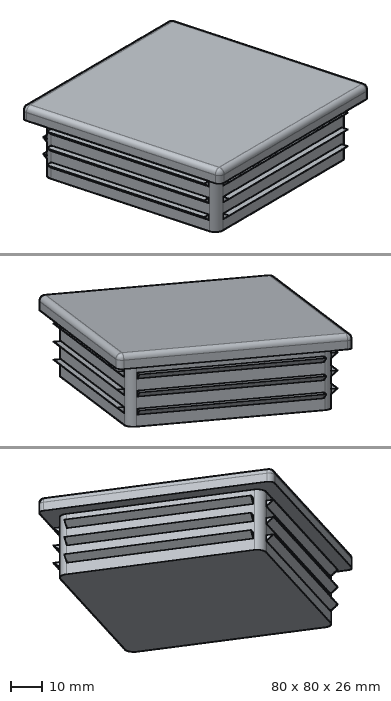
import cadquery as cq

head_width = 80.0
total_height = 26.0
head_height = 5.0
head_radius = 2.0

plug_width = 70.0
plug_height = total_height - head_height
plug_corner_radius = 3.0

fin_reach = 2.5
fin_height = 2.0
fin_count = 3
fin_pitch = 6.0
lowest_fin_top = 6.0
fin_end_gap = 0.2
fin_length = plug_width - 2 * (plug_corner_radius + fin_end_gap)
fin_root = 0.8


def make_head():
    """Head plate with rounded top and vertical edges."""
    base = cq.Workplane("XY").workplane(offset=plug_height)
    plate = base.rect(head_width, head_width).extrude(head_height)
    return plate.edges("|Z or >Z").fillet(head_radius)


def make_plug():
    """Square plug with rounded corners, standing on Z = 0."""
    block = cq.Workplane("XY").rect(plug_width, plug_width).extrude(plug_height)
    return block.edges("|Z").fillet(plug_corner_radius)


def make_fin(top):
    """Fin on the -Y face of the plug, with its flat side at the given height."""
    face = -plug_width / 2
    section = [
        (face + fin_root, top),
        (face - fin_reach, top),
        (face, top - fin_height),
        (face + fin_root, top - fin_height),
    ]
    return cq.Workplane("YZ").polyline(section).close().extrude(fin_length / 2, both=True)


result = make_plug().union(make_head())
for level in range(fin_count):
    fin = make_fin(lowest_fin_top + level * fin_pitch)
    for angle in (0, 90, 180, 270):
        result = result.union(fin.rotate((0, 0, 0), (0, 0, 1), angle))